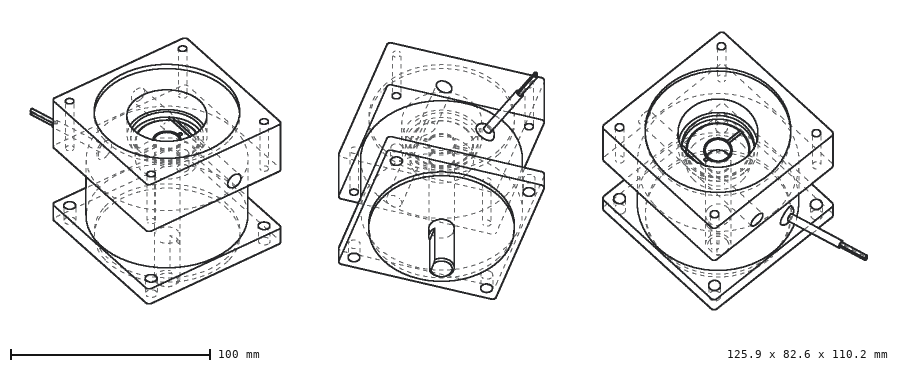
import cadquery as cq
import math


overall_length = 125.9

square_side = 82.6
corner_radius = 2.0
flange_height = 9.8
body_diameter = 81.0
body_height = 37.7
block_height = 30.6
block_bottom = flange_height + body_height
block_top = block_bottom + block_height

pilot_diameter = 72.9
pilot_height = 2.8

bolt_pitch = 69.6
block_hole_diameter = 4.3
flange_hole_diameter = 5.9

upper_bore_diameter = 40.0
ledge_depth = 15.7
lower_bore_diameter = 36.5
bore_floor_depth = 19.1
bore_floor = block_top - bore_floor_depth

access_hole_diameter = 8.2
access_hole_y = 11.8
access_breakthrough = 0.08
access_hole_z = bore_floor + access_breakthrough - access_hole_diameter / 2

hub_diameter = 32.0
hub_rise = 0.3
hub_top = bore_floor + hub_rise
hub_chamfer_width = 0.5
shaft_diameter = 12.7
shaft_projection = 29.3
shaft_tip_chamfer = 1.0
shaft_bottom = -pilot_height - shaft_projection
flat_offset = 4.8
round_shank_length = 5.5
flat_top = -pilot_height - round_shank_length
socket_diameter = shaft_diameter
socket_depth = 10.1
sleeve_diameter = 14.1
sleeve_lip_diameter = 13.0
sleeve_groove_depth = 0.6
slit_width = 1.5
short_slit_reach = 9.1
chord_slot_width = 1.6

cable_angle = 15.0
cable_depth = 46.7
cable_z = block_top - cable_depth
grommet_diameter = 10.6
grommet_round = 2.3
grommet_face_radius = 42.3
cable_diameter = 4.0
cable_end_radius = 72.4
wire_diameter = 1.8
wire_spacing = 1.9
wire_end_radius = (
    (overall_length - square_side / 2 - wire_diameter / 2 * math.sin(math.radians(cable_angle)))
    / math.cos(math.radians(cable_angle))
)
cable_embedment = 3.8
cable_root_radius = body_diameter / 2 - cable_embedment


def disc(diameter, bottom, top):
    """Solid cylinder on the Z axis between two heights."""
    return cq.Workplane("XY").workplane(offset=bottom).circle(diameter / 2).extrude(top - bottom)


def square_plate(bottom, height, hole_diameter):
    """Square plate with rounded corners and four corner bolt holes."""
    plate = cq.Workplane("XY").workplane(offset=bottom).rect(square_side, square_side).extrude(height)
    plate = plate.edges("|Z").fillet(corner_radius)
    holes = (
        cq.Workplane("XY").workplane(offset=bottom)
        .rect(bolt_pitch, bolt_pitch, forConstruction=True).vertices()
        .circle(hole_diameter / 2).extrude(height)
    )
    return plate.cut(holes)


def radial_rod(diameter, end_radius, z):
    """Rod along -X from inside the round body out to end_radius."""
    return (
        cq.Workplane("YZ").workplane(offset=-end_radius).center(0, z)
        .circle(diameter / 2).extrude(end_radius - cable_root_radius)
    )


def make_cable():
    """Rounded grommet, jacketed cable and two bare wires at its end."""
    grommet = radial_rod(grommet_diameter, grommet_face_radius, cable_z)
    grommet = grommet.faces("<X").edges().fillet(grommet_round)
    cable = grommet.union(radial_rod(cable_diameter, cable_end_radius, cable_z))
    for side in (-1, 1):
        wire_z = cable_z + side * wire_spacing / 2
        cable = cable.union(radial_rod(wire_diameter, wire_end_radius, wire_z))
    return cable.rotate((0, 0, 0), (0, 0, 1), cable_angle)


def make_access_hole():
    """Cross hole running through the block along X."""
    return (
        cq.Workplane("YZ").workplane(offset=-square_side / 2).center(access_hole_y, access_hole_z)
        .circle(access_hole_diameter / 2).extrude(square_side)
    )


def make_housing():
    housing = square_plate(0, flange_height, flange_hole_diameter)
    housing = housing.union(disc(body_diameter, flange_height, block_bottom))
    housing = housing.union(square_plate(block_bottom, block_height, block_hole_diameter))
    housing = housing.union(disc(pilot_diameter, -pilot_height, 0))
    housing = housing.union(make_cable())
    housing = housing.cut(disc(pilot_diameter, block_top - pilot_height, block_top))
    housing = housing.cut(disc(upper_bore_diameter, block_top - ledge_depth, block_top))
    housing = housing.cut(disc(lower_bore_diameter, bore_floor, block_top))
    housing = housing.cut(make_access_hole())
    housing = housing.cut(disc(hub_diameter, block_bottom, bore_floor))
    return housing.cut(disc(shaft_diameter, -pilot_height, block_bottom))


def hub_top_cut(length_x, length_y, centre_y):
    """Shallow slot in the hub top, down to the level of the bore floor."""
    return (
        cq.Workplane("XY").workplane(offset=bore_floor).center(0, centre_y)
        .rect(length_x, length_y).extrude(hub_rise)
    )


def make_hub():
    """Hub whose chamfered edge stands just above the bore floor."""
    hub_radius = hub_diameter / 2
    return (
        cq.Workplane("XZ")
        .moveTo(0, block_bottom).lineTo(hub_radius, block_bottom).lineTo(hub_radius, bore_floor)
        .lineTo(hub_radius - hub_chamfer_width, hub_top).lineTo(0, hub_top).close()
        .revolve(360, (0, 0, 0), (0, 1, 0))
    )


def make_shaft():
    """Output shaft with a chamfered tip and a flat facing +Y below a round shank."""
    shaft = disc(shaft_diameter, shaft_bottom, block_bottom)
    shaft = shaft.faces("<Z").edges().chamfer(shaft_tip_chamfer)
    flat_depth = shaft_diameter / 2 - flat_offset
    flat = (
        cq.Workplane("XY").workplane(offset=shaft_bottom).center(0, flat_offset + flat_depth / 2)
        .rect(shaft_diameter, flat_depth).extrude(flat_top - shaft_bottom)
    )
    return shaft.cut(flat)


def make_sleeve_groove():
    """V-groove around the socket: straight outer wall, conical inner wall."""
    groove_bottom = bore_floor - sleeve_groove_depth
    lip_radius = sleeve_lip_diameter / 2
    sleeve_radius = sleeve_diameter / 2
    return (
        cq.Workplane("XZ")
        .moveTo(lip_radius, bore_floor).lineTo(sleeve_radius, groove_bottom)
        .lineTo(sleeve_radius, bore_floor).close()
        .revolve(360, (0, 0, 0), (0, 1, 0))
    )


def make_rotor():
    rotor = make_hub().union(make_shaft())
    rotor = rotor.cut(disc(sleeve_diameter, bore_floor, hub_top))
    rotor = rotor.cut(make_sleeve_groove())
    rotor = rotor.cut(disc(socket_diameter, bore_floor - socket_depth, bore_floor))

    hub_radius = hub_diameter / 2
    rotor = rotor.cut(hub_top_cut(slit_width, hub_radius, -hub_radius / 2))
    rotor = rotor.cut(hub_top_cut(slit_width, short_slit_reach, short_slit_reach / 2))
    return rotor.cut(hub_top_cut(hub_diameter, chord_slot_width, access_hole_y))


housing = make_housing()
rotor = make_rotor()

result = cq.Compound.makeCompound([housing.val(), rotor.val()])